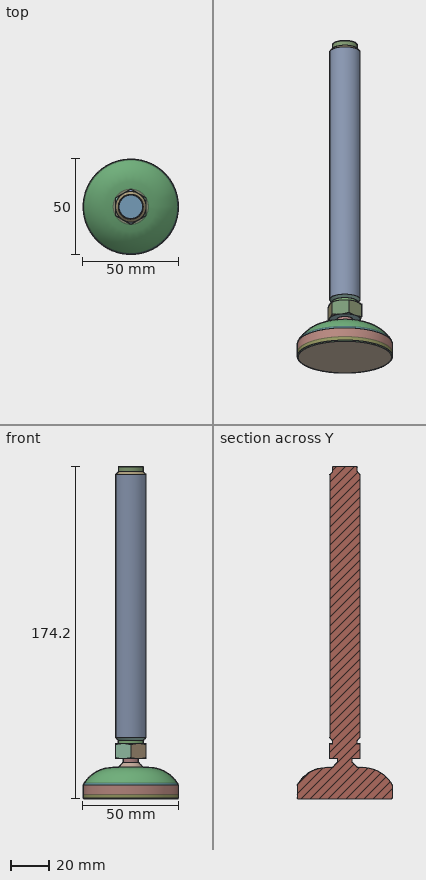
import cadquery as cq
import math

total_height = 174.2
foot_diameter = 50.0

pad_height = 2.5
bottom_chamfer = 0.5
rim_top = 7.3
dome_start = 8.4
rim_bevel_width = 0.5
dome_top = 16.7
dome_flat_radius = 9.2

stem_diameter = 8.0
collar_diameter = 13.0
collar_top = 19.3

hex_bottom = 21.3
hex_height = 7.8
hex_width = 16.0
hex_corner_chamfer = 0.5

spindle_diameter = 16.0
tip_diameter = 13.0
tip_height = 2.8
tip_bevel = 0.3
groove_diameter = 13.2
spindle_bottom = 32.2


def make_foot():
    """Revolved foot with a tangent arc running from its flat crown to the rim."""
    foot_radius = foot_diameter / 2
    dome_radius = foot_radius - rim_bevel_width
    pad = (
        cq.Workplane("XY")
        .circle(foot_radius)
        .extrude(pad_height)
        .faces("<Z")
        .edges()
        .chamfer(bottom_chamfer)
    )
    body = (
        cq.Workplane("XZ")
        .moveTo(foot_radius, pad_height)
        .lineTo(0, pad_height)
        .lineTo(0, dome_top)
        .lineTo(dome_flat_radius, dome_top)
        .tangentArcPoint((dome_radius, dome_start), relative=False)
        .lineTo(foot_radius, rim_top)
        .close()
        .revolve(360, (0, 0, 0), (0, 1, 0))
    )
    return pad.union(body, clean=False)


def make_stem():
    """Slim stem that flares into a collar where it meets the foot."""
    return (
        cq.Workplane("XZ")
        .moveTo(0, dome_top)
        .lineTo(collar_diameter / 2, dome_top)
        .lineTo(stem_diameter / 2, collar_top)
        .lineTo(stem_diameter / 2, hex_bottom)
        .lineTo(0, hex_bottom)
        .close()
        .revolve(360, (0, 0, 0), (0, 1, 0))
    )


def make_hexagon():
    """Hexagon with flats facing X and corners trimmed by a chamfered cylinder."""
    corner_diameter = hex_width / math.cos(math.pi / 6)
    base = cq.Workplane("XY").workplane(offset=hex_bottom)
    prism = base.transformed(rotate=(0, 0, 30)).polygon(6, corner_diameter).extrude(hex_height)
    chamfer_width = (corner_diameter - hex_width) / 2
    envelope = (
        base.circle(corner_diameter / 2)
        .extrude(hex_height)
        .faces("<Z")
        .chamfer(hex_corner_chamfer, chamfer_width)
        .faces(">Z")
        .chamfer(hex_corner_chamfer, chamfer_width)
    )
    return prism.intersect(envelope)


def make_spindle():
    """Groove above the hexagon, chamfered shank and reduced tip."""
    spindle_radius = spindle_diameter / 2
    groove_radius = groove_diameter / 2
    tip_radius = tip_diameter / 2
    tip_bottom = total_height - tip_height
    top_chamfer = spindle_radius - tip_radius
    bottom_spindle_chamfer = spindle_radius - groove_radius
    return (
        cq.Workplane("XZ")
        .moveTo(0, hex_bottom + hex_height)
        .lineTo(groove_radius, hex_bottom + hex_height)
        .lineTo(groove_radius, spindle_bottom - bottom_spindle_chamfer)
        .lineTo(spindle_radius, spindle_bottom)
        .lineTo(spindle_radius, tip_bottom - top_chamfer)
        .lineTo(tip_radius, tip_bottom)
        .lineTo(tip_radius, total_height - tip_bevel)
        .lineTo(tip_radius - tip_bevel, total_height)
        .lineTo(0, total_height)
        .close()
        .revolve(360, (0, 0, 0), (0, 1, 0))
    )


result = (
    make_foot()
    .union(make_stem(), clean=False)
    .union(make_hexagon(), clean=False)
    .union(make_spindle(), clean=False)
)